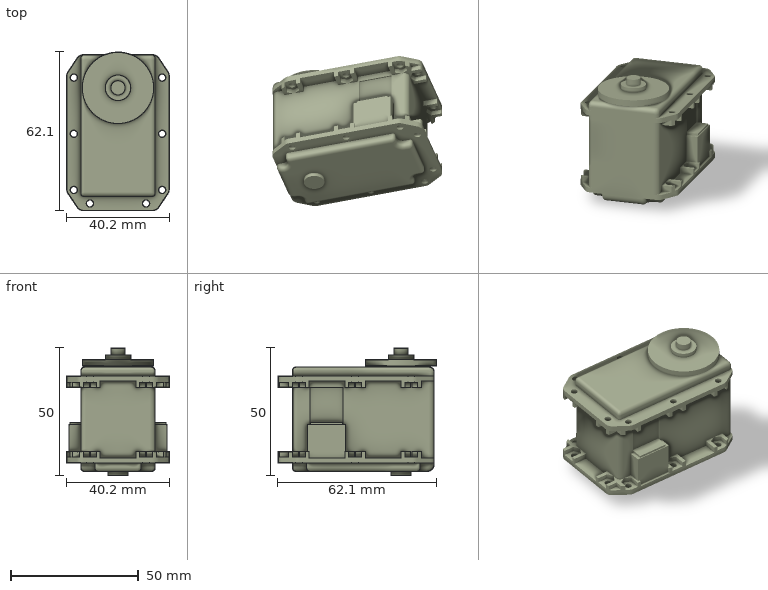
import cadquery as cq
import math


case_width = 29.1
case_rear_y = 13.0
case_front_y = -42.5
case_height = 41.0
body_corner_radius = 2.0
cover_corner_radius = 1.0
cover_edge_radius = 1.5
rear_top_radius = 2.0
rear_bottom_radius = 3.0
corner_notch_size = 5.5
corner_notch_radius = 2.5

flange_width = 40.2
flange_front_y = -48.1
flange_corner_x = 5.0
flange_corner_y = 7.5
flange_corner_radius = 3.0
lower_flange_z = 3.4
upper_flange_z = 37.4
plate_thickness = 2.0
pad_thickness = 4.4
pad_width = 8.0

hole_diameter = 2.7
hole_edge_distance = 2.8
hole_pitch = 22.0
rear_hole_y = 4.0
nut_width = 5.0
nut_depth = 2.0

connector_center_y = -29.2
connector_width = 15.0
connector_outer_x = 19.2
connector_top_z = 18.4
plug_width = 12.5
plug_outer_x = 18.9
plug_height = 0.9
recess_width = 12.9
recess_depth = 0.5

stub_diameter = 8.0
stub_length = 1.6
collar_diameter = 11.0
disc_diameter = 28.0
disc_bottom_z = 41.4
disc_thickness = 2.5
hub_diameter = 10.0
hub_height = 1.8
shaft_diameter = 5.6
shaft_height = 2.7

case_length = case_rear_y - case_front_y
case_center_y = (case_rear_y + case_front_y) / 2
side_hole_x = flange_width / 2 - hole_edge_distance
front_hole_y = flange_front_y + hole_edge_distance
side_hole_ys = [rear_hole_y - i * hole_pitch for i in range(3)]
front_hole_xs = [-hole_pitch / 2, hole_pitch / 2]
pocket_floor = pad_thickness - nut_depth
upper_pad_bottom_z = upper_flange_z - pad_thickness

screw_seats = [(side_hole_x, y, 0) for y in side_hole_ys]
screw_seats += [(-side_hole_x, y, 180) for y in side_hole_ys]
screw_seats += [(x, front_hole_y, -90) for x in front_hole_xs]


def box(x_range, y_range, z_range):
    """Axis-aligned box between the given limits."""
    size = [high - low for low, high in (x_range, y_range, z_range)]
    corner = (x_range[0], y_range[0], z_range[0])
    return cq.Workplane("XY").box(*size, centered=False).translate(corner)


def cylinder(diameter, bottom_z, height):
    """Cylinder on the output axis."""
    return cq.Workplane("XY").workplane(offset=bottom_z).circle(diameter / 2).extrude(height)


def case_block(bottom_z, top_z):
    """Sharp-edged block with the footprint of the case."""
    half = case_width / 2
    return box((-half, half), (case_front_y, case_rear_y), (bottom_z, top_z))


def seat_at(shape, seat):
    """Turn a shape drawn with +X pointing outward and move it to a screw seat."""
    x, y, angle = seat
    return shape.rotate((0, 0, 0), (0, 0, 1), angle).translate((x, y, 0))


def make_body():
    """Middle of the case, between the outer faces of the two flanges."""
    return case_block(lower_flange_z, upper_flange_z).edges("|Z").fillet(body_corner_radius)


def make_top_cover():
    """Cover above the upper flange with a rounded rim and corners."""
    cover = case_block(upper_flange_z, case_height)
    cover = cover.faces(">Y").edges(">Z").fillet(rear_top_radius)
    cover = cover.faces(">Z").edges("not(>Y)").fillet(cover_edge_radius)
    return cover.faces("<Y").edges("|Z").fillet(cover_corner_radius)


def make_bottom_cover():
    """Cover below the lower flange, with a notch at each corner."""
    cover = case_block(0, lower_flange_z)
    cover = cover.faces(">Y").edges("<Z").fillet(rear_bottom_radius)
    for x_side in (-1, 1):
        for y_side in (-1, 1):
            notch = box(
                (-corner_notch_size, corner_notch_size),
                (-corner_notch_size, corner_notch_size),
                (0, lower_flange_z),
            )
            notch = notch.edges("|Z").fillet(corner_notch_radius)
            case_corner_y = case_center_y + y_side * case_length / 2
            cover = cover.cut(notch.translate((x_side * case_width / 2, case_corner_y, 0)))
    cover = cover.faces("<Z").edges().fillet(cover_edge_radius)
    outer_corners = cover.faces("<Y or <X or >X").edges("|Z")
    return outer_corners.fillet(cover_corner_radius)


def flange_outline(thickness):
    """Flange plate with four slanted, rounded corners, resting on Z = 0."""
    x = flange_width / 2
    inner_x = x - flange_corner_x
    rear = case_rear_y
    front = flange_front_y
    points = [
        (inner_x, rear),
        (x, rear - flange_corner_y),
        (x, front + flange_corner_y),
        (inner_x, front),
        (-inner_x, front),
        (-x, front + flange_corner_y),
        (-x, rear - flange_corner_y),
        (-inner_x, rear),
    ]
    plate = cq.Workplane("XY").polyline(points).close().extrude(thickness)
    return plate.edges("|Z").fillet(flange_corner_radius)


def nut_pocket():
    """Slot for a hexagon nut: open outward (+X), pointed inward."""
    half = nut_width / 2
    point_x = half / math.cos(math.radians(30))
    outline = [
        (hole_edge_distance, -half),
        (hole_edge_distance, half),
        (-point_x / 2, half),
        (-point_x, 0),
        (-point_x / 2, -half),
    ]
    return cq.Workplane("XY").workplane(offset=pocket_floor).polyline(outline).close().extrude(nut_depth)


def make_flange():
    """Flange resting on Z = 0 with its pads and nut pockets facing up."""
    pad_reach = flange_width / 2 - case_width / 2 + body_corner_radius
    pad = box(
        (hole_edge_distance - pad_reach, hole_edge_distance),
        (-pad_width / 2, pad_width / 2),
        (0, pad_thickness),
    )
    hole = cq.Workplane("XY").circle(hole_diameter / 2).extrude(pad_thickness)
    corner_step = box(
        (front_hole_xs[1], flange_width / 2),
        (flange_front_y, side_hole_ys[-1]),
        (0, pocket_floor),
    )

    raised = corner_step.union(corner_step.mirror("YZ"))
    for seat in screw_seats:
        raised = raised.union(seat_at(pad, seat))
    flange = flange_outline(plate_thickness).union(raised.intersect(flange_outline(pad_thickness)))
    for seat in screw_seats:
        flange = flange.cut(seat_at(nut_pocket(), seat))
        flange = flange.cut(seat_at(hole, seat))
    return flange


def make_connector():
    """Connector on the +X side, with the slightly smaller plug on top."""
    def block(width, outer_x, top_z):
        y_range = (connector_center_y - width / 2, connector_center_y + width / 2)
        return box((case_width / 2 - recess_depth, outer_x), y_range, (lower_flange_z, top_z))

    socket = block(connector_width, connector_outer_x, connector_top_z)
    plug = block(plug_width, plug_outer_x, connector_top_z + plug_height)
    return socket.union(plug)


def make_side_recess():
    """Shallow recess in the +X case wall above the connector."""
    return box(
        (case_width / 2 - recess_depth, case_width / 2),
        (connector_center_y - recess_width / 2, connector_center_y + recess_width / 2),
        (connector_top_z, upper_pad_bottom_z),
    )


def make_output():
    """Collar, disc, hub and shaft stacked above the case."""
    disc_top_z = disc_bottom_z + disc_thickness
    hub_top_z = disc_top_z + hub_height
    output = cylinder(collar_diameter, case_height, disc_bottom_z - case_height)
    output = output.union(cylinder(disc_diameter, disc_bottom_z, disc_thickness))
    output = output.union(cylinder(hub_diameter, disc_top_z, hub_height))
    return output.union(cylinder(shaft_diameter, hub_top_z, shaft_height))


def make_bearing_stub():
    """Short round stub below the case."""
    return cylinder(stub_diameter, -stub_length, stub_length)


lower_flange = make_flange().translate((0, 0, lower_flange_z))
upper_flange = make_flange().mirror("XY").translate((0, 0, upper_flange_z))

recess = make_side_recess()
connector = make_connector()

result = make_body().cut(recess).cut(recess.mirror("YZ"))
for piece in (
    make_top_cover(),
    make_bottom_cover(),
    lower_flange,
    upper_flange,
    connector,
    connector.mirror("YZ"),
    make_output(),
    make_bearing_stub(),
):
    result = result.union(piece)